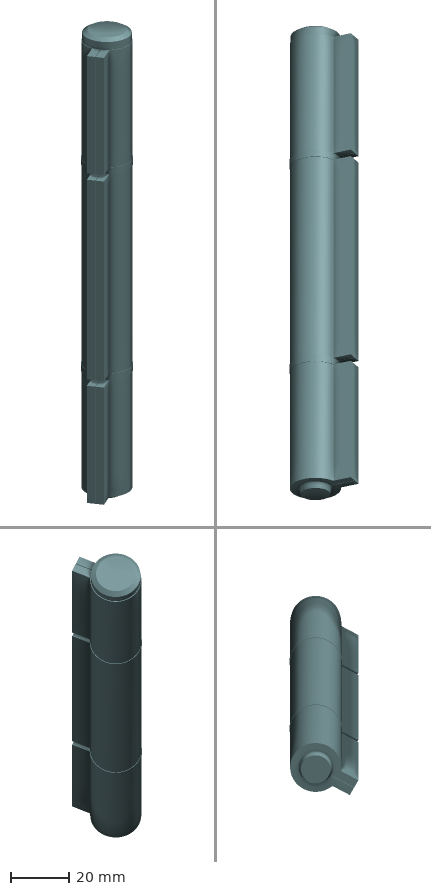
import cadquery as cq
import math

total_length = 174.0
head_height = 4.0
end_knuckle_length = 44.0
washer_thickness = 2.5
middle_knuckle_length = 75.0

shank_diameter = 11.7
head_diameter = 17.0
barrel_diameter = 17.5
washer_diameter = 18.0

head_chamfer_width = 1.7
head_chamfer_height = 1.0
tip_diameter = 10.1
tip_taper_length = 3.0

overall_depth = 24.0
leaf_reach = overall_depth - washer_diameter / 2
leaf_width = 6.1
slit_width = 0.2
root_fillet = 0.5

head_bottom = total_length - head_height
upper_knuckle_bottom = head_bottom - end_knuckle_length
upper_washer_bottom = upper_knuckle_bottom - washer_thickness
middle_knuckle_bottom = upper_washer_bottom - middle_knuckle_length
lower_washer_bottom = middle_knuckle_bottom - washer_thickness
lower_knuckle_bottom = lower_washer_bottom - end_knuckle_length


def make_cylinder(diameter, bottom, height):
    """Solid cylinder on the hinge axis."""
    return cq.Workplane("XY", origin=(0, 0, bottom)).circle(diameter / 2).extrude(height)


def make_slab(width, bottom, height):
    """Block from the hinge axis to the free edge of the leaf."""
    return (
        cq.Workplane("XY", origin=(0, -leaf_reach / 2, bottom))
        .rect(width, leaf_reach)
        .extrude(height)
    )


def make_knuckle(bottom, length):
    """Sheet wrapped round the pin, its two ends side by side with a thin slit between."""
    barrel = make_cylinder(barrel_diameter, bottom, length)
    outline = barrel.union(make_slab(leaf_width, bottom, length))

    root_x = leaf_width / 2
    root_y = -math.sqrt((barrel_diameter / 2) ** 2 - root_x**2)
    root_z = bottom + length / 2
    for side in (-1, 1):
        root_edge = cq.selectors.NearestToPointSelector((side * root_x, root_y, root_z))
        outline = outline.edges("|Z").edges(root_edge).fillet(root_fillet)

    bore = make_cylinder(shank_diameter, bottom, length)
    slit = make_slab(slit_width, bottom, length)
    return outline.cut(bore).cut(slit)


def make_washer(bottom):
    """Flat ring between two knuckles, bored to fit the pin shank."""
    disc = make_cylinder(washer_diameter, bottom, washer_thickness)
    return disc.cut(make_cylinder(shank_diameter, bottom, washer_thickness))


def make_pin():
    """Headed pin with a tapered tip, built as one revolved half section."""
    shank_radius = shank_diameter / 2
    head_radius = head_diameter / 2
    return (
        cq.Workplane("XZ")
        .moveTo(0, 0)
        .lineTo(tip_diameter / 2, 0)
        .lineTo(shank_radius, tip_taper_length)
        .lineTo(shank_radius, head_bottom)
        .lineTo(head_radius, head_bottom)
        .lineTo(head_radius, total_length - head_chamfer_height)
        .lineTo(head_radius - head_chamfer_width, total_length)
        .lineTo(0, total_length)
        .close()
        .revolve(360, (0, 0, 0), (0, 1, 0))
    )


pin = make_pin()

knuckles = [
    make_knuckle(bottom, length)
    for bottom, length in (
        (lower_knuckle_bottom, end_knuckle_length),
        (middle_knuckle_bottom, middle_knuckle_length),
        (upper_knuckle_bottom, end_knuckle_length),
    )
]

washers = [make_washer(bottom) for bottom in (lower_washer_bottom, upper_washer_bottom)]

result = cq.Compound.makeCompound([pin.val(), *[body.val() for body in knuckles + washers]])